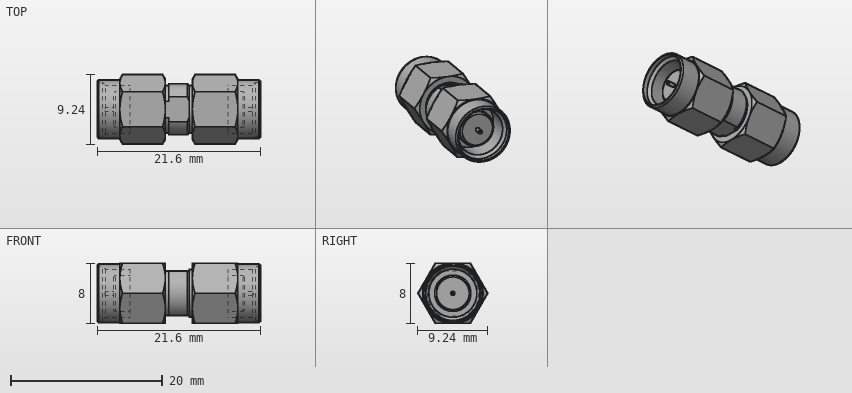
import cadquery as cq
import math

total_length = 21.6
sleeve_length = 3.0
nut_length = 6.0
neck_length = total_length - 2 * (sleeve_length + nut_length)

across_flats = 8.0
across_corners = across_flats / math.cos(math.radians(30))
nut_chamfer_angle = 30.0
sleeve_radius = 3.89
sleeve_chamfer = 0.22

mouth_radius = 3.59
mouth_depth = 0.7
bore_radius = 3.18
bore_depth = 4.32
mouth_taper = mouth_radius - bore_radius

contact_radius = 2.4
contact_chamfer = 0.24
contact_recess = 2.14
pin_radius = 0.25
pin_chamfer = 0.13
pin_recess = 0.97

body_radius = 3.4
body_chamfer = 0.24
collar_radius = body_radius - body_chamfer
collar_length = 0.43
flat_spacing = 5.92


def rod(start, end, radius):
    """Round bar on the X axis."""
    return cq.Workplane("YZ").workplane(offset=start).circle(radius).extrude(end - start)


def hex_nut(start):
    """Hexagon with flats facing up and down and conical chamfers on both ends."""
    corner_radius = across_corners / 2
    flat_radius = across_flats / 2
    end = start + nut_length
    chamfer_depth = (corner_radius - flat_radius) * math.tan(math.radians(nut_chamfer_angle))
    prism = cq.Workplane("YZ").workplane(offset=start).polygon(6, across_corners).extrude(nut_length)
    envelope = (
        cq.Workplane("XY")
        .moveTo(start, 0)
        .lineTo(start, flat_radius)
        .lineTo(start + chamfer_depth, corner_radius)
        .lineTo(end - chamfer_depth, corner_radius)
        .lineTo(end, flat_radius)
        .lineTo(end, 0)
        .close()
        .revolve(360, (0, 0, 0), (1, 0, 0))
    )
    return prism.intersect(envelope)


def socket(face):
    """Stepped recess with a wide mouth, a taper and a plain bore."""
    taper_start = face + mouth_depth
    return (
        cq.Workplane("XY")
        .moveTo(face, 0)
        .lineTo(face, mouth_radius)
        .lineTo(taper_start, mouth_radius)
        .lineTo(taper_start + mouth_taper, bore_radius)
        .lineTo(face + bore_depth, bore_radius)
        .lineTo(face + bore_depth, 0)
        .close()
        .revolve(360, (0, 0, 0), (1, 0, 0))
    )


def connector():
    """Complete connector at the -X end."""
    face = -total_length / 2
    nut_start = face + sleeve_length
    floor = face + bore_depth
    contact_face = face + contact_recess
    sleeve = rod(face, nut_start, sleeve_radius).faces("<X").chamfer(sleeve_chamfer)
    shell = sleeve.union(hex_nut(nut_start)).cut(socket(face))
    contact = rod(contact_face, floor, contact_radius).faces("<X").chamfer(contact_chamfer)
    pin = rod(face + pin_recess, contact_face, pin_radius).faces("<X").chamfer(pin_chamfer)
    return shell.union(contact).union(pin)


def neck():
    """Stepped round neck; the -X collar and the body share two flats."""
    start = -neck_length / 2
    end = neck_length / 2
    body_start = start + collar_length
    body_end = end - collar_length
    body = rod(body_start, body_end, body_radius).faces(">X").chamfer(body_chamfer)
    flatted = rod(start, body_start, collar_radius).union(body)
    flat_limits = cq.Workplane("XY").box(neck_length, 2 * body_radius, flat_spacing)
    return flatted.intersect(flat_limits).union(rod(body_end, end, collar_radius))


left_connector = connector()
right_connector = left_connector.mirror("YZ")
result = left_connector.union(neck()).union(right_connector)